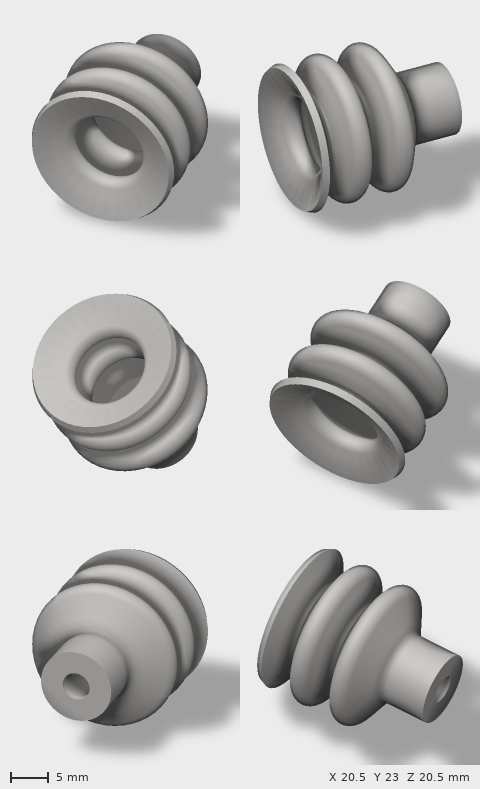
import cadquery as cq
import math


total_height = 23.0
max_radius = 20.5 / 2
neck_radius = 10.0 / 2
bore_radius = 1.9
throat_radius = 5.0
wall = 1.0
fold_spacing = 3.1
fold_count = 2
groove_arc_radius = 0.48
bulge_arc_radius = 1.5
neck_fillet = 1.0
lip_angle = math.radians(24)
shoulder_angle = math.radians(30)

groove_center_radius = throat_radius + wall + groove_arc_radius
bulge_center_radius = max_radius - bulge_arc_radius

center_step = bulge_center_radius - groove_center_radius
center_distance = math.hypot(center_step, fold_spacing)
center_line_angle = math.atan2(fold_spacing, center_step)
tangent_turn = math.asin((groove_arc_radius + bulge_arc_radius) / center_distance)
fold_angle = center_line_angle - tangent_turn

lip_edge_height = wall * math.cos(lip_angle)
lip_inner_radius = max_radius - wall * math.sin(lip_angle)
lip_wall_run = max_radius - groove_center_radius + groove_arc_radius * math.sin(lip_angle)
first_groove_height = (
    lip_edge_height
    + lip_wall_run * math.tan(lip_angle)
    + groove_arc_radius * math.cos(lip_angle)
)
last_bulge_height = first_groove_height + (2 * fold_count - 1) * fold_spacing


def shoulder_height(radius, depth):
    """Height of the conical shoulder at a radius, on a surface set in from the outside by depth."""
    offset_radius = bulge_arc_radius - depth
    center_to_cone = offset_radius / math.cos(shoulder_angle)
    return last_bulge_height + center_to_cone + (bulge_center_radius - radius) * math.tan(shoulder_angle)


def add_arc(profile, center, radius, start_angle, end_angle):
    """Run a straight line to the start of an arc, then follow the arc."""
    def point(angle):
        return (center[0] + radius * math.cos(angle), center[1] + radius * math.sin(angle))

    middle_angle = (start_angle + end_angle) / 2
    return profile.lineTo(*point(start_angle)).threePointArc(point(middle_angle), point(end_angle))


def add_folds(profile, depth):
    """Trace the folds from the lip upward, on a surface set in from the outside by depth."""
    quarter_turn = math.pi / 2
    for fold in range(fold_count):
        groove_height = first_groove_height + 2 * fold * fold_spacing
        bulge_height = groove_height + fold_spacing
        angle_below = lip_angle if fold == 0 else fold_angle
        angle_above = shoulder_angle if fold == fold_count - 1 else fold_angle
        profile = add_arc(
            profile,
            (groove_center_radius, groove_height),
            groove_arc_radius + depth,
            3 * quarter_turn - angle_below,
            quarter_turn + fold_angle,
        )
        profile = add_arc(
            profile,
            (bulge_center_radius, bulge_height),
            bulge_arc_radius - depth,
            fold_angle - quarter_turn,
            quarter_turn - angle_above,
        )
    return profile


def revolve_profile(profile):
    return profile.close().revolve(360, (0, 0, 0), (0, 1, 0))


def outer_body():
    profile = cq.Workplane("XY").lineTo(lip_inner_radius, 0).lineTo(max_radius, lip_edge_height)
    profile = add_folds(profile, 0)

    fillet_start_radius = neck_radius + neck_fillet * (1 - math.sin(shoulder_angle))
    fillet_start_height = shoulder_height(fillet_start_radius, 0)
    fillet_center = (
        neck_radius + neck_fillet,
        fillet_start_height + neck_fillet * math.cos(shoulder_angle),
    )
    profile = add_arc(profile, fillet_center, neck_fillet, 3 * math.pi / 2 - shoulder_angle, math.pi)
    return revolve_profile(profile.lineTo(neck_radius, total_height).lineTo(0, total_height))


def inner_cavity():
    floor_height = shoulder_height(throat_radius, wall)
    profile = add_folds(cq.Workplane("XY").lineTo(lip_inner_radius, 0), wall)
    return revolve_profile(profile.lineTo(throat_radius, floor_height).lineTo(0, floor_height))


def neck_bore():
    return cq.Workplane("XZ").circle(bore_radius).extrude(-total_height)


result = outer_body().cut(inner_cavity()).cut(neck_bore())